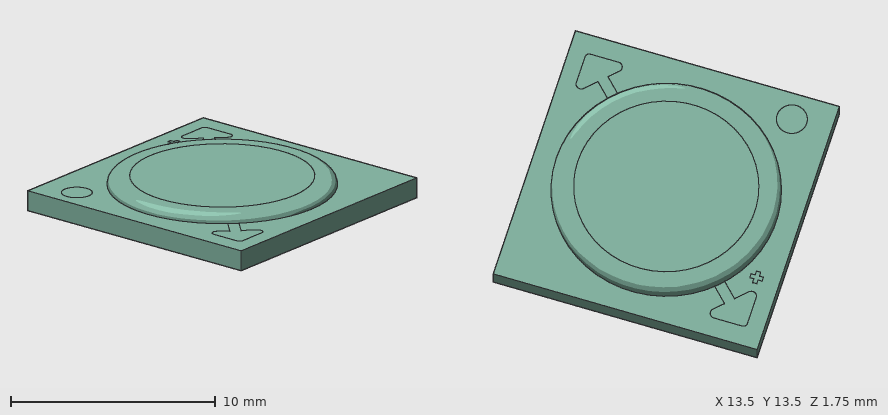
import cadquery as cq
import math

board_side = 13.5
board_thickness = 1.04
overall_height = 1.75

dam_outer_radius = 5.63
dam_shoulder_radius = 5.06
dam_inner_radius = 4.52
dam_top = 1.5

inlay_depth = 0.07
arrow_tip_x = -5.89
arrow_tip_y = 5.78
arrow_leg = 2.27
arrow_shoulder_fillet = 0.25
arrow_tip_fillet = 0.2
shaft_width = 0.55
shaft_angle = 135.0
shaft_end_radius = dam_shoulder_radius
plus_x = -5.59
plus_y = 3.1
plus_length = 0.63
plus_bar_width = 0.22
dot_x = -4.74
dot_y = -5.41
dot_radius = 0.75

inlay_bottom = board_thickness - inlay_depth


def inlay_plane():
    return cq.Workplane("XY").workplane(offset=inlay_bottom)


def make_arrow(turn):
    """Arrow pointing at the -X +Y corner, turned about the board centre by the given angle."""
    tip = (arrow_tip_x, arrow_tip_y)
    right_shoulder = (arrow_tip_x + arrow_leg, arrow_tip_y)
    lower_shoulder = (arrow_tip_x, arrow_tip_y - arrow_leg)
    head = inlay_plane().polyline([tip, right_shoulder, lower_shoulder]).close().extrude(inlay_depth)
    tip_edge = cq.selectors.NearestToPointSelector((*tip, board_thickness))
    head = head.edges("|Z").edges(tip_edge).fillet(arrow_tip_fillet)
    for shoulder in (right_shoulder, lower_shoulder):
        shoulder_edge = cq.selectors.NearestToPointSelector((*shoulder, board_thickness))
        head = head.edges("|Z").edges(shoulder_edge).fillet(arrow_shoulder_fillet)

    head_depth = arrow_leg / math.sqrt(2)
    tip_distance = (arrow_tip_y - arrow_tip_x) / math.sqrt(2)
    shaft_outer_end = tip_distance - head_depth / 2
    shaft_length = shaft_outer_end - shaft_end_radius
    shaft_middle = (shaft_outer_end + shaft_end_radius) / 2
    shaft = inlay_plane().center(shaft_middle, 0).rect(shaft_length, shaft_width).extrude(inlay_depth)
    shaft = shaft.rotate((0, 0, 0), (0, 0, 1), shaft_angle)
    return head.union(shaft).rotate((0, 0, 0), (0, 0, 1), turn)


def make_plus():
    plane = inlay_plane().center(plus_x, plus_y)
    across = plane.rect(plus_length, plus_bar_width).extrude(inlay_depth)
    upright = plane.rect(plus_bar_width, plus_length).extrude(inlay_depth)
    return across.union(upright)


def make_dot():
    return inlay_plane().center(dot_x, dot_y).circle(dot_radius).extrude(inlay_depth)


def make_board(inlays):
    """Board with one recess for each inlaid marking."""
    board = cq.Workplane("XY").box(board_side, board_side, board_thickness, centered=(True, True, False))
    for inlay in inlays:
        board = board.cut(inlay)
    return board


def make_dam():
    """Ring with a flat top and a rounded, nearly elliptical outer shoulder."""
    shoulder_width = dam_outer_radius - dam_shoulder_radius
    shoulder_height = dam_top - board_thickness
    shoulder_middle = (
        dam_shoulder_radius + shoulder_width * math.sqrt(0.5),
        board_thickness + shoulder_height * math.sqrt(0.5),
    )
    profile = (
        cq.Workplane("XZ")
        .moveTo(dam_inner_radius, board_thickness)
        .lineTo(dam_outer_radius, board_thickness)
        .spline(
            [shoulder_middle, (dam_shoulder_radius, dam_top)],
            tangents=[(0, 1), (-1, 0)],
            includeCurrent=True,
        )
        .lineTo(dam_inner_radius, dam_top)
        .close()
    )
    return profile.revolve(360.0, (0, 0, 0), (0, 1, 0))


def make_dome():
    """Filling of the dam, with a shallow spherical top."""
    rise = overall_height - dam_top
    sphere_radius = (dam_inner_radius**2 + rise**2) / (2 * rise)
    half_span = dam_inner_radius / 2
    sphere_center_z = overall_height - sphere_radius
    arc_middle = (half_span, sphere_center_z + math.sqrt(sphere_radius**2 - half_span**2))
    profile = (
        cq.Workplane("XZ")
        .moveTo(0, board_thickness)
        .lineTo(dam_inner_radius, board_thickness)
        .lineTo(dam_inner_radius, dam_top)
        .threePointArc(arc_middle, (0, overall_height))
        .close()
    )
    return profile.revolve(360.0, (0, 0, 0), (0, 1, 0))


arrows = [make_arrow(turn) for turn in (0, 180)]
plus = make_plus()
dot = make_dot()
board = make_board([*arrows, plus, dot])
dam = make_dam()
dome = make_dome()

result = cq.Compound.makeCompound(
    [board.val(), *[arrow.val() for arrow in arrows], plus.val(), dot.val(), dam.val(), dome.val()]
)